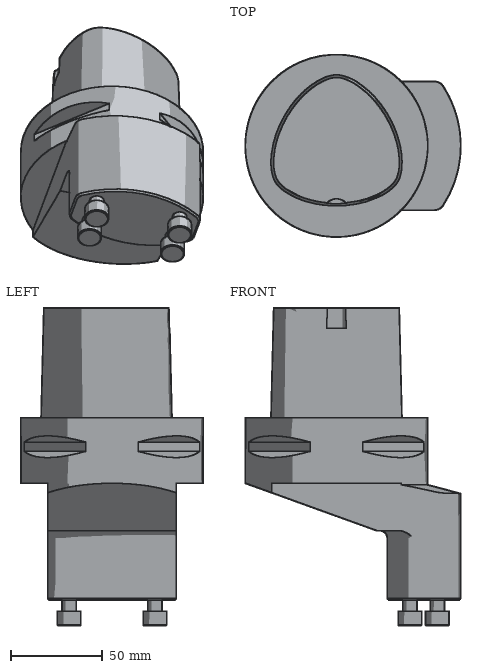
import cadquery as cq
import math

flange_radius = 50.0
flange_height = 36.0

groove_count = 4
groove_first_angle = 45.0
groove_floor_distance = 44.0
groove_floor_height = 5.0
groove_flank_angle = 30.0
groove_center_z = -16.0

shank_height = 60.0
shank_base_radius = 35.9
shank_taper = 1 / 40
shank_eccentricity = 3.0
lobe_count = 3
lobe_direction = 90.0
lobe_half_angle = 24.0
section_points_per_face = 9

notch_radius = 7.0
notch_center_y = -36.0
notch_depth = 11.0

arm_half_width = 35.3
arm_underside_z = -62.0
arm_slope_end_x = 22.0
arm_top_angle = 15.0
arm_top_start_z = -36.8
column_min_x = 27.7
column_max_x = 68.08
column_side_radius = 60.0
column_corner_radius = 6.0
column_bottom_z = -100.0
column_bottom_chamfer = 1.0
column_root_fillet = 4.0

screw_shank_diameter = 8.0
screw_head_diameter = 13.0
screw_head_height = 8.0
screw_exposed_length = 14.0
screw_head_chamfer = 0.5
screw_pitch_x = 15.0
screw_pitch_y = 47.0
screw_center_x = 47.7


def section_point(base_radius, angle):
    """Point of a constant-width curve, given the direction of its normal in degrees."""
    t = math.radians(angle)
    support = base_radius + shank_eccentricity * math.cos(lobe_count * t)
    slope = -lobe_count * shank_eccentricity * math.sin(lobe_count * t)
    along = support * math.cos(t) - slope * math.sin(t)
    across = support * math.sin(t) + slope * math.cos(t)
    turn = math.radians(lobe_direction)
    return (
        along * math.cos(turn) - across * math.sin(turn),
        along * math.sin(turn) + across * math.cos(turn),
    )


def section_tangent(angle):
    """Unit tangent of the section where its normal has the given direction."""
    t = math.radians(angle + lobe_direction)
    return cq.Vector(-math.sin(t), math.cos(t), 0)


def section_edge(base_radius, z, start, end):
    """Smooth section edge between two normal directions."""
    step = (end - start) / (section_points_per_face - 1)
    angles = [start + i * step for i in range(section_points_per_face)]
    points = [cq.Vector(*section_point(base_radius, a), z) for a in angles]
    return cq.Edge.makeSpline(points, tangents=[section_tangent(start), section_tangent(end)])


def section_wire(base_radius, z):
    """Closed section of alternating lobe and flank edges."""
    pitch = 360.0 / lobe_count
    edges = []
    for i in range(lobe_count):
        lobe = i * pitch
        lobe_end = lobe + lobe_half_angle
        edges.append(section_edge(base_radius, z, lobe - lobe_half_angle, lobe_end))
        edges.append(section_edge(base_radius, z, lobe_end, lobe + pitch - lobe_half_angle))
    return cq.Wire.assembleEdges(edges)


def make_shank():
    top_radius = shank_base_radius - shank_height * shank_taper
    wires = [section_wire(shank_base_radius, 0), section_wire(top_radius, shank_height)]
    shank = cq.Workplane(cq.Solid.makeLoft(wires, True))
    notch = (
        cq.Workplane("XY", origin=(0, notch_center_y, shank_height - notch_depth))
        .circle(notch_radius)
        .extrude(notch_depth)
    )
    return shank.cut(notch)


def make_groove():
    """Straight groove with flared flanks, cut across the +X side of the flange."""
    depth = flange_radius - groove_floor_distance
    floor_half = groove_floor_height / 2
    mouth_half = floor_half + depth * math.tan(math.radians(groove_flank_angle))
    return (
        cq.Workplane("XZ", origin=(0, 0, groove_center_z))
        .moveTo(groove_floor_distance, -floor_half)
        .lineTo(flange_radius, -mouth_half)
        .lineTo(flange_radius, mouth_half)
        .lineTo(groove_floor_distance, floor_half)
        .close()
        .extrude(flange_radius, both=True)
    )


def make_flange():
    flange = cq.Workplane("XY").circle(flange_radius).extrude(-flange_height)
    groove = make_groove()
    for i in range(groove_count):
        angle = groove_first_angle + i * 360.0 / groove_count
        flange = flange.cut(groove.rotate((0, 0, 0), (0, 0, 1), angle))
    return flange


def make_column(top_z):
    """Column between two bulging sides, from its bottom face up to top_z."""
    side_sagitta = column_side_radius - math.sqrt(column_side_radius**2 - arm_half_width**2)
    left_x = column_min_x + side_sagitta
    right_x = column_max_x - side_sagitta
    return (
        cq.Workplane("XY", origin=(0, 0, column_bottom_z))
        .moveTo(left_x, -arm_half_width)
        .lineTo(right_x, -arm_half_width)
        .threePointArc((column_max_x, 0), (right_x, arm_half_width))
        .lineTo(left_x, arm_half_width)
        .threePointArc((column_min_x, 0), (left_x, -arm_half_width))
        .close()
        .extrude(top_z - column_bottom_z)
        .edges("|Z")
        .fillet(column_corner_radius)
    )


def make_column_surround():
    """Space around the column below the arm, rounded off where the column meets the arm."""
    surround_width = 4 * column_max_x
    margin = 1.0
    space = (
        cq.Workplane("XY", origin=(0, 0, column_bottom_z))
        .rect(surround_width, surround_width)
        .extrude(arm_underside_z - column_bottom_z)
        .cut(make_column(arm_underside_z))
    )
    rim = cq.selectors.BoxSelector(
        (0, -flange_radius, arm_underside_z - margin),
        (column_max_x + margin, flange_radius, arm_underside_z + margin),
    )
    return space.edges(rim).fillet(column_root_fillet)


def make_arm():
    """Sloping arm under the flange together with its column."""
    column_center_x = (column_min_x + column_max_x) / 2
    profile = (
        cq.Workplane("XZ")
        .moveTo(-flange_radius, -flange_height)
        .lineTo(column_max_x, -flange_height)
        .lineTo(column_max_x, column_bottom_z)
        .lineTo(arm_slope_end_x, column_bottom_z)
        .lineTo(arm_slope_end_x, arm_underside_z)
        .close()
        .extrude(arm_half_width, both=True)
    )
    plan = (
        cq.Workplane("XY")
        .circle(flange_radius)
        .extrude(column_bottom_z)
        .union(
            cq.Workplane("XY", origin=(column_center_x / 2, 0, 0))
            .rect(column_center_x, 2 * arm_half_width)
            .extrude(column_bottom_z)
        )
        .union(make_column(0))
    )
    return (
        profile.intersect(plan)
        .cut(make_column_surround())
        .faces("<Z")
        .chamfer(column_bottom_chamfer)
    )


def make_top_cutter():
    """Ring above the arm whose lower side is a cone falling away from the flange."""
    margin = 1.0
    outer_radius = column_max_x + margin
    drop = (outer_radius - flange_radius) * math.tan(math.radians(arm_top_angle))
    return (
        cq.Workplane("XZ")
        .moveTo(flange_radius, 0)
        .lineTo(outer_radius, 0)
        .lineTo(outer_radius, arm_top_start_z - drop)
        .lineTo(flange_radius, arm_top_start_z)
        .close()
        .revolve(360, (0, 0, 0), (0, 1, 0))
    )


def make_screw():
    bare_shank_length = screw_exposed_length - screw_head_height
    head = (
        cq.Workplane("XY", origin=(0, 0, column_bottom_z - screw_exposed_length))
        .circle(screw_head_diameter / 2)
        .extrude(screw_head_height)
        .faces("<Z")
        .chamfer(screw_head_chamfer)
    )
    shank = (
        cq.Workplane("XY", origin=(0, 0, column_bottom_z))
        .circle(screw_shank_diameter / 2)
        .extrude(-bare_shank_length)
    )
    return head.union(shank)


def make_screws():
    """Rectangular pattern of four screws."""
    places = [
        (screw_center_x + side_x * screw_pitch_x / 2, side_y * screw_pitch_y / 2)
        for side_x in (-1, 1)
        for side_y in (-1, 1)
    ]
    return [make_screw().translate((x, y, 0)) for x, y in places]


result = make_flange().union(make_arm().cut(make_top_cutter()), clean=False)
for added_body in [make_shank(), *make_screws()]:
    result = result.union(added_body, clean=False)